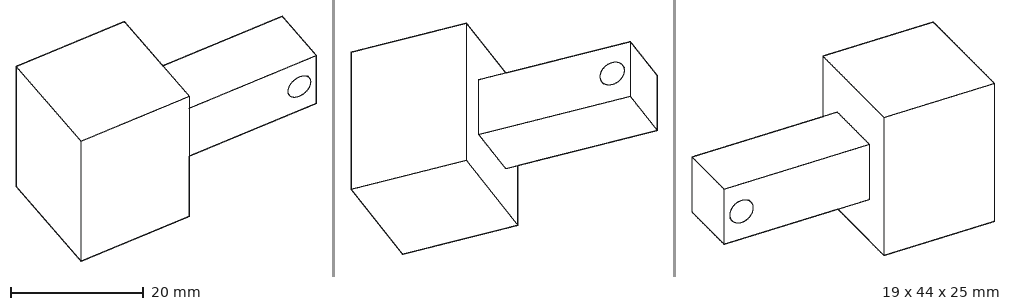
import cadquery as cq

total_length = 44.0
head_side = 19.0
head_height = 25.0
shank_side = 10.0
shank_length = total_length - head_side

hole_diameter = 4.0
hole_end_distance = 3.0

head = cq.Workplane("XY").box(head_side, head_side, head_height, centered=(True, False, True))

shank = (
    cq.Workplane("XY")
    .box(shank_side, shank_length, shank_side, centered=(True, False, True))
    .translate((0, head_side, 0))
)

hole_cutter = (
    cq.Workplane("YZ")
    .center(total_length - hole_end_distance, 0)
    .circle(hole_diameter / 2)
    .extrude(shank_side, both=True)
)

result = head.union(shank).cut(hole_cutter)